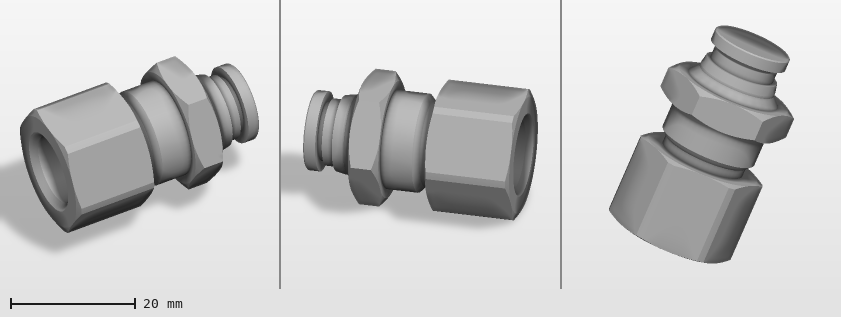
import cadquery as cq
import math

length = 34.9
across_flats = 19.0
inradius = across_flats / 2
corner_radius = inradius / math.cos(math.pi / 6)

socket_length = 14.0
socket_turned_radius = 10.6
socket_chamfer_angle = 20.0

mouth_radius = 6.75
bore_radius = 5.65
bore_taper = 1 / 32
bore_depth = 11.85
mouth_depth = 1.08

neck_radius = 6.98
neck_end = 15.5
body_radius = 8.03
body_start = 16.47

nut_start = 21.67
nut_length = 5.03
nut_end = nut_start + nut_length
nut_chamfer_angle = 30.0

shoulder_radius = 6.5
cone_base_radius = 7.82
shoulder_start = 28.2
taper_start = 28.62
taper_end = 30.2
taper_end_radius = 6.18
collar_end = 32.05
collar_radius = 5.45
groove_radius = 4.78
flange_thickness = 2.02
flange_start = length - flange_thickness
flange_chamfer = 0.2


def revolve_profile(points):
    """Turn a closed (radius, y) outline about the Y axis."""
    return cq.Workplane("XY").polyline(points).close().revolve(360, (0, 0, 0), (0, 1, 0))


def chamfered_hexagon(start, height, outer_radius, chamfer_angle):
    """Hexagonal prism along Y, corners on X, both ends coned from the inscribed circle."""
    end = start + height
    chamfer_height = (outer_radius - inradius) * math.tan(math.radians(chamfer_angle))
    prism = (
        cq.Workplane("XZ", origin=(0, start, 0))
        .polygon(6, 2 * corner_radius)
        .extrude(-height)
    )
    envelope = revolve_profile([
        (0, start),
        (inradius, start),
        (outer_radius, start + chamfer_height),
        (outer_radius, end - chamfer_height),
        (inradius, end),
        (0, end),
    ])
    return prism.intersect(envelope)


def turned_core():
    """Round neck, body and release end."""
    return revolve_profile([
        (0, socket_length),
        (neck_radius, socket_length),
        (neck_radius, neck_end),
        (body_radius, body_start),
        (body_radius, nut_start),
        (cone_base_radius, nut_end),
        (shoulder_radius, shoulder_start),
        (shoulder_radius, taper_start),
        (taper_end_radius, taper_end),
        (collar_radius, taper_end),
        (collar_radius, collar_end),
        (groove_radius, collar_end),
        (groove_radius, flange_start),
        (shoulder_radius, flange_start),
        (shoulder_radius, length - flange_chamfer),
        (shoulder_radius - flange_chamfer, length),
        (0, length),
    ])


def tapered_bore():
    """Blind bore with a countersunk mouth and a flat bottom."""
    bottom_radius = bore_radius - bore_taper * (bore_depth - mouth_depth)
    return revolve_profile([
        (0, 0),
        (mouth_radius, 0),
        (bore_radius, mouth_depth),
        (bottom_radius, bore_depth),
        (0, bore_depth),
    ])


socket = chamfered_hexagon(0, socket_length, socket_turned_radius, socket_chamfer_angle)
nut = chamfered_hexagon(nut_start, nut_length, corner_radius, nut_chamfer_angle)
result = socket.union(turned_core()).union(nut).cut(tapered_bore())